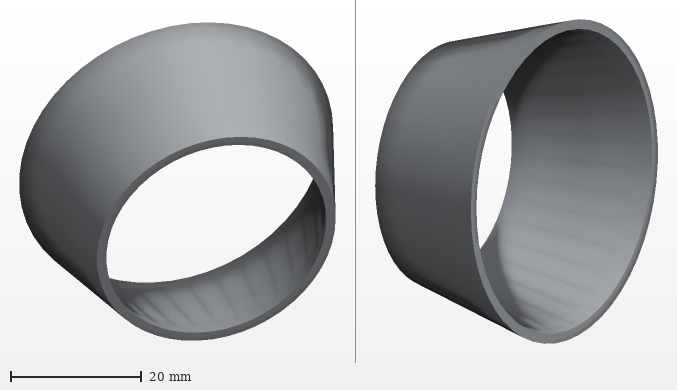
import cadquery as cq

length = 22.0
wide_diameter = 50.0
narrow_diameter = 38.0
wall = 1.5


def tapered_plug(start_diameter, end_diameter):
    """Solid frustum along X, centred on the origin."""
    return (
        cq.Workplane("YZ", origin=(-length / 2, 0, 0))
        .circle(start_diameter / 2)
        .workplane(offset=length)
        .circle(end_diameter / 2)
        .loft(ruled=True)
    )


outer = tapered_plug(wide_diameter, narrow_diameter)
bore = tapered_plug(wide_diameter - 2 * wall, narrow_diameter - 2 * wall)

result = outer.cut(bore)